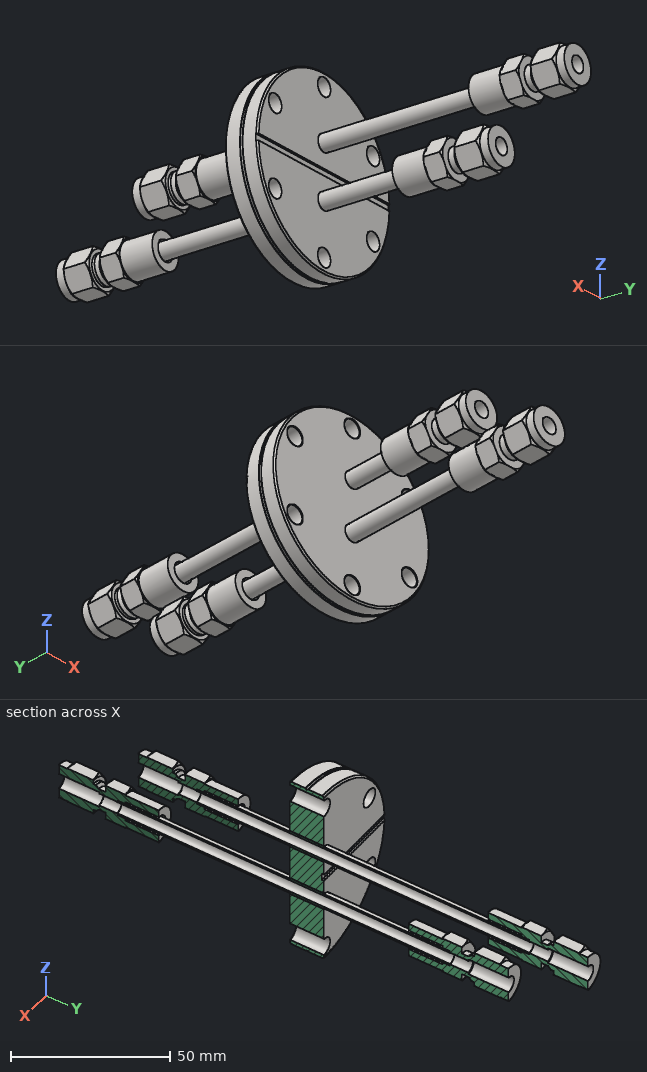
import cadquery as cq
import math

FLANGE_DIAMETER = 69.1
FLANGE_THICKNESS = 13.0
FLANGE_BACK_Y = 0.25
FLANGE_EDGE_CHAMFER = 0.6
BACK_SLOT_WIDTH = 2.4
BACK_SLOT_DEPTH = 0.8
RIM_GROOVE_WIDTH = 1.0
RIM_GROOVE_DEPTH = 0.2
BOLT_HOLE_COUNT = 6
BOLT_HOLE_DIAMETER = 6.7
BOLT_HOLE_CHAMFER = 0.2
BOLT_CIRCLE_DIAMETER = 58.7

TUBE_DIAMETER = 6.35
TUBE_BORE = 4.5
TUBE_HEIGHT = 10.0
LONG_REACH = 100.0
SHORT_REACH = 70.0

HEX_ACROSS_FLATS = 14.29
HEX_ACROSS_CORNERS = HEX_ACROSS_FLATS / math.cos(math.pi / 6)
COLLAR_DIAMETER = 13.97
COLLAR_LENGTH = 3.2
NUT_LENGTH = 13.1
HEX_CHAMFER_ANGLE = math.radians(30)
THREAD_DIAMETER = 11.11
THREAD_END = 14.1
NECK_DIAMETER = 8.95
NECK_END = 17.6
BODY_HEX_END = 25.1
BODY_HEX_FACE_DIAMETER = 14.6
SLEEVE_DIAMETER = 13.72
FITTING_LENGTH = 37.8
PORT_DIAMETER = 6.0
PORT_DEPTH = 15.2
FITTING_BORE = 4.8
SLEEVE_BORE = 7.62
TUBE_SEAT_DEPTH = 3.0
TUBE_SEAT_START = BODY_HEX_END - TUBE_SEAT_DEPTH


def cylinder(diameter, start, end):
    """Cylinder along Z from height start to height end."""
    return cq.Workplane("XY").workplane(offset=start).circle(diameter / 2).extrude(end - start)


def chamfered_hexagon(start, end, face_diameter):
    """Hexagonal prism along Z, corners on the X axis, turned down to a round face at each end."""
    corner_radius = HEX_ACROSS_CORNERS / 2
    corner_drop = (corner_radius - face_diameter / 2) * math.tan(HEX_CHAMFER_ANGLE)
    corner_limit = (
        cq.Workplane("XZ")
        .moveTo(0, start)
        .lineTo(face_diameter / 2, start)
        .lineTo(corner_radius, start + corner_drop)
        .lineTo(corner_radius, end - corner_drop)
        .lineTo(face_diameter / 2, end)
        .lineTo(0, end)
        .close()
        .revolve(360, (0, 0, 0), (0, 1, 0))
    )
    prism = cq.Workplane("XY").workplane(offset=start).polygon(6, HEX_ACROSS_CORNERS).extrude(end - start)
    return prism.intersect(corner_limit)


def along_y(solid, direction):
    """Turn a solid built along +Z so that it runs along +Y (direction 1) or -Y (direction -1)."""
    return solid.rotate((0, 0, 0), (1, 0, 0), -90 * direction)


def make_flange():
    """Drilled flange, built along Z from its back face and then turned to face -Y."""
    flange = cylinder(FLANGE_DIAMETER, 0, FLANGE_THICKNESS).edges().chamfer(FLANGE_EDGE_CHAMFER)
    groove_start = (FLANGE_THICKNESS - RIM_GROOVE_WIDTH) / 2
    groove_end = groove_start + RIM_GROOVE_WIDTH
    groove = cylinder(FLANGE_DIAMETER, groove_start, groove_end).cut(
        cylinder(FLANGE_DIAMETER - 2 * RIM_GROOVE_DEPTH, groove_start, groove_end)
    )
    bolt_holes = (
        cq.Workplane("XY")
        .polarArray(BOLT_CIRCLE_DIAMETER / 2, 90, 360, BOLT_HOLE_COUNT)
        .circle(BOLT_HOLE_DIAMETER / 2)
        .extrude(FLANGE_THICKNESS)
    )
    hole_mouths = (
        cq.Workplane("XY")
        .workplane(offset=FLANGE_THICKNESS)
        .polarArray(BOLT_CIRCLE_DIAMETER / 2, 90, 360, BOLT_HOLE_COUNT)
        .circle(BOLT_HOLE_DIAMETER / 2 + BOLT_HOLE_CHAMFER)
        .extrude(-BOLT_HOLE_CHAMFER, taper=45)
    )
    tube_holes = (
        cq.Workplane("XY")
        .pushPoints([(0, TUBE_HEIGHT), (0, -TUBE_HEIGHT)])
        .circle(TUBE_DIAMETER / 2)
        .extrude(FLANGE_THICKNESS)
    )
    back_slot = cq.Workplane("XY").box(
        FLANGE_DIAMETER, BACK_SLOT_WIDTH, BACK_SLOT_DEPTH, centered=(True, True, False)
    )
    flange = flange.cut(groove).cut(bolt_holes).cut(hole_mouths).cut(tube_holes).cut(back_slot)
    return along_y(flange, -1).translate((0, FLANGE_BACK_Y, 0))


def make_nut():
    """Hexagonal nut with a round collar at its open end."""
    nut_hex = chamfered_hexagon(COLLAR_LENGTH, NUT_LENGTH, COLLAR_DIAMETER)
    return nut_hex.union(cylinder(COLLAR_DIAMETER, 0, COLLAR_LENGTH))


def make_fitting():
    """Tube fitting along +Z, with its open nut end at Z = 0."""
    cone_end = THREAD_END + (THREAD_DIAMETER - NECK_DIAMETER) / 2
    thread_and_neck = (
        cq.Workplane("XZ")
        .moveTo(0, NUT_LENGTH)
        .lineTo(THREAD_DIAMETER / 2, NUT_LENGTH)
        .lineTo(THREAD_DIAMETER / 2, THREAD_END)
        .lineTo(NECK_DIAMETER / 2, cone_end)
        .lineTo(NECK_DIAMETER / 2, NECK_END)
        .lineTo(0, NECK_END)
        .close()
        .revolve(360, (0, 0, 0), (0, 1, 0))
    )
    return (
        make_nut()
        .union(thread_and_neck)
        .union(chamfered_hexagon(NECK_END, BODY_HEX_END, BODY_HEX_FACE_DIAMETER))
        .union(cylinder(SLEEVE_DIAMETER, BODY_HEX_END, FITTING_LENGTH))
        .cut(cylinder(PORT_DIAMETER, 0, PORT_DEPTH))
        .cut(cylinder(FITTING_BORE, 0, FITTING_LENGTH))
        .cut(cylinder(TUBE_DIAMETER, TUBE_SEAT_START, BODY_HEX_END))
        .cut(cylinder(SLEEVE_BORE, BODY_HEX_END, FITTING_LENGTH))
    )


def make_tube(front_reach, back_reach, height):
    """Tube whose ends bottom out in the seats of its two fittings."""
    start = TUBE_SEAT_START - front_reach
    end = back_reach - TUBE_SEAT_START
    tube = cylinder(TUBE_DIAMETER, start, end).cut(cylinder(TUBE_BORE, start, end))
    return along_y(tube, 1).translate((0, 0, height))


flange = make_flange()
bodies = [flange.val()]
for height, front_reach, back_reach in (
    (TUBE_HEIGHT, SHORT_REACH, LONG_REACH),
    (-TUBE_HEIGHT, LONG_REACH, SHORT_REACH),
):
    front_fitting = along_y(make_fitting(), 1).translate((0, -front_reach, height))
    back_fitting = along_y(make_fitting(), -1).translate((0, back_reach, height))
    tube = make_tube(front_reach, back_reach, height)
    bodies += [tube.val(), front_fitting.val(), back_fitting.val()]

result = cq.Compound.makeCompound(bodies)